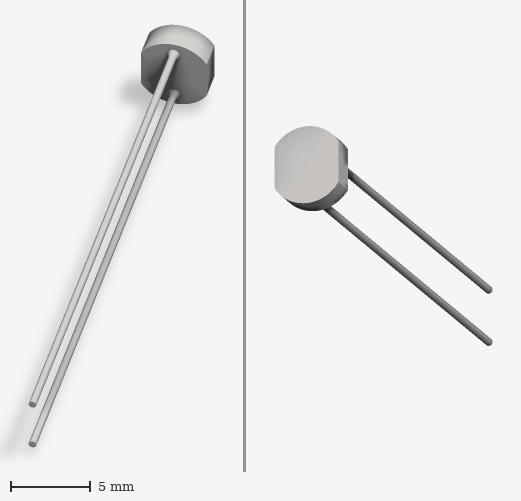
import cadquery as cq

total_length = 35.23
body_width = 4.25
body_diameter = 5.05
body_thickness = 1.83

coating_wall = 0.05
coating_floor = 0.2

lead_radius = 0.25
lead_spacing = 3.4

collar_base_radius = 0.4
collar_length = 0.42

back_y = total_length / 2
front_y = back_y - body_thickness
lead_length = total_length - body_thickness


def plane_facing_front(x, y, z):
    """Plane whose normal points along -Y, with its local x along -X."""
    return cq.Plane(origin=(x, y, z), xDir=(-1, 0, 0), normal=(0, -1, 0))


def flatted_disc(start_y, inset):
    """Round disc with flats on +X and -X, from start_y to the front, shrunk by inset all round."""
    thickness = start_y - front_y
    diameter = body_diameter - 2 * inset
    width = body_width - 2 * inset
    start = plane_facing_front(0, start_y, 0)
    disc = cq.Workplane(start).circle(diameter / 2).extrude(thickness)
    flats = cq.Workplane(start).rect(width, diameter).extrude(thickness)
    return disc.intersect(flats)


def make_lead(z):
    """Straight round wire that butts against the front of the core."""
    start = plane_facing_front(0, front_y, z)
    return cq.Workplane(start).circle(lead_radius).extrude(lead_length)


def make_collar(z):
    """Conical ring around the lead, widening from the wire to the front of the core."""
    section = cq.Plane(origin=(0, front_y, z), xDir=(-1, 0, 0), normal=(0, 0, 1))
    return (
        cq.Workplane(section)
        .moveTo(lead_radius, 0)
        .lineTo(collar_base_radius, 0)
        .lineTo(lead_radius, collar_length)
        .close()
        .revolve(360, (0, 0), (0, 1))
    )


core = flatted_disc(back_y - coating_floor, coating_wall)
coating = flatted_disc(back_y, 0).cut(core)

lead_heights = [-lead_spacing / 2, lead_spacing / 2]
leads = [make_lead(z) for z in lead_heights]
collars = [make_collar(z) for z in lead_heights]

result = cq.Compound.makeCompound(
    [core.val(), coating.val()]
    + [lead.val() for lead in leads]
    + [collar.val() for collar in collars]
)